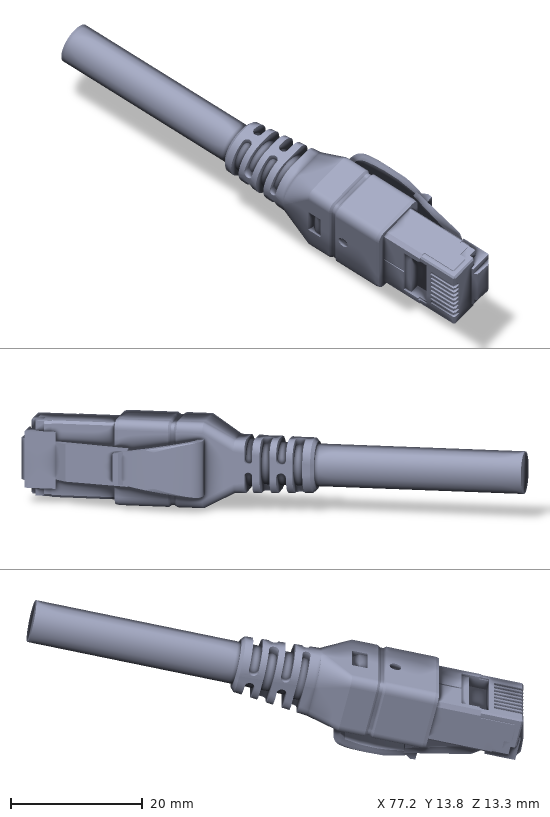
import cadquery as cq
import math


CABLE_D = 6.5
BOOT_START = 31.9
BOOT_END = 44.1
BOOT_HALF_Z = 4.13
BOOT_START_LOW_Y = -4.2
BOOT_START_HIGH_Y = 4.1
TAPER_LOW_RADIUS = 4.0
BOOT_HIGH_RADIUS = 1.55
BOOT_START_HIGH_RADIUS = 3.4
BOOT_LIP_CHAMFER = 0.5
RELIEF_FIRST_X = 34.35
RELIEF_PITCH = 2.5
RELIEF_COUNT = 3
RELIEF_WIDTH = 1.5
RELIEF_BRIDGE_HALF = 0.65
LAST_RELIEF_WIDTH = 1.2
LAST_RELIEF_FLOOR_D = 7.2

HOUSING_START = 48.9
HOUSING_END = 62.5
HOUSING_HALF_Y = 4.88
HOUSING_HALF_Z = 6.65
HOUSING_RADIUS = 1.4
HOUSING_LIP_LENGTH = 0.55
HOUSING_LIP_DEPTH = 0.12
GROOVE_X = 53.6
GROOVE_TOP_WIDTH = 1.3
GROOVE_FLOOR_WIDTH = 0.5
GROOVE_DEPTH = 0.3
DIMPLE_X = 55.65
DIMPLE_D = 1.8
DIMPLE_DEPTH = 0.8
RECESS_LENGTH = 2.4
RECESS_HALF_Z = 2.2
RECESS_DEPTH = 1.0
RECESS_DEEP_OFFSET = 0.3
RECESS_SHELF_OFFSET = 1.2
RECESS_SHELF_DEPTH = 0.35

PLUG_END = 76.0
PLUG_HALF_Z = 5.95
PLUG_LOW_Y = -3.52
PLUG_HIGH_Y = 3.3
NOSE_STEP = 0.12
NOSE_CHAMFER = 0.25
NOSE_TOP_X = 73.7
NOSE_TOP_Y = 3.25
NOSE_KEY_X = 75.1
NOSE_LEDGE_Y = 2.9
NOSE_KEY_Y = 1.5
SHELL_EDGE = 0.4
SHELL_LOW_EDGE_Y = 0.75
SHELL_LOW_END = 69.4
SHELL_RIM_Y = -2.4
SHELL_FRONT_X = 75.0
SHELL_FRONT_Y = 0.7
SHELL_MID_X = 73.9
SHELL_MID_Y = 2.45
SHELL_TOP_X = 72.5
SEAM_WIDTH = 0.35
SEAM_DEPTH = 0.15

WINDOW_START = 66.3
WINDOW_STEP_X = 67.5
WINDOW_END = 70.6
WINDOW_HALF_Z = 4.55
WINDOW_LEDGE_DEPTH = 0.35
WINDOW_DEPTH = 1.9
WINDOW_FLARE_X = 69.1
WINDOW_FLARE_HALF_Z = 4.8

CONTACT_COUNT = 8
CONTACT_PITCH = 1.02
CONTACT_SLOT_START = 71.4
CONTACT_SLOT_WIDTH = 0.72
CONTACT_SLOT_DEPTH = 1.2
BLADE_THICKNESS = 0.3
BLADE_RECESS = 0.3

STRAP_HALF_Z = 4.3
STRAP_END_HALF_Z = 2.3
STRAP_TAPER_X = 50.0
STRAP_TOP_Y = 8.92
STRAP_CORNER = 1.5
STRAP_FOOT_X = 48.6
STRAP_FOOT_THICKNESS = 1.05
STRAP_SHOULDER_Y = 6.1
STRAP_SHOULDER_END = (50.1, 8.1)
STRAP_CROWN_X = 55.6
STRAP_CROWN_THICKNESS = 1.15
STRAP_INNER_START = (50.5, 6.85)
NUB_START = (60.5, 8.35)
NUB_TOP_X = 61.2
NUB_END_X = 62.0
NUB_LOW_Y = 7.6
STRAP_TIP = (58.9, 7.7)

LATCH_END = 77.17
LATCH_TOP_Y = 4.4
LATCH_LOW_Y = 3.8
LEVER_HALF_Z = 2.9
LEVER_FREE_X = 59.9
LEVER_FREE_LOW_Y = 7.0
LEVER_FREE_HIGH_Y = 7.9
LEVER_BEND = (69.9, 5.75)
LEVER_ROOT_X = 71.7
LEVER_ROOT_OVERLAP = 0.8
HINGE_HALF_Z = 4.36
HINGE_GAP_X = 73.6
HINGE_BACK_X = 74.9
HINGE_BACK_HIGH_Y = 3.3
HINGE_BACK_LOW_Y = 2.0
TIP_START_X = 76.5
TIP_HALF_Z = 3.2
TIP_SHOULDER_Y = 3.4
TIP_LOW = (77.0, 1.0)
TIP_UNDERSIDE = (76.2, 0.5)


def section(x, low_y, high_y, half_z, low_radius, high_radius):
    """Closed outline normal to X: rounded +Y corners, and -Y corners that may merge into one arc."""
    cut = 1 - math.sqrt(0.5)
    low_cut = cut * low_radius
    high_cut = cut * high_radius
    outline = (
        cq.Workplane("YZ", origin=(x, 0, 0))
        .moveTo(low_y + low_radius, -half_z)
        .lineTo(high_y - high_radius, -half_z)
        .threePointArc((high_y - high_cut, high_cut - half_z), (high_y, high_radius - half_z))
        .lineTo(high_y, half_z - high_radius)
        .threePointArc((high_y - high_cut, half_z - high_cut), (high_y - high_radius, half_z))
        .lineTo(low_y + low_radius, half_z)
    )
    if low_radius < half_z:
        outline = outline.threePointArc((low_y + low_cut, half_z - low_cut), (low_y, half_z - low_radius))
        outline = outline.lineTo(low_y, low_radius - half_z)
        outline = outline.threePointArc((low_y + low_cut, low_cut - half_z), (low_y + low_radius, -half_z))
    else:
        outline = outline.threePointArc((low_y, 0), (low_y + low_radius, -half_z))
    return outline.wire().val()


def loft(*sections):
    return cq.Workplane(cq.Solid.makeLoft(list(sections), True))


def block(x_range, y_range, z_range):
    (x0, x1), (y0, y1), (z0, z1) = x_range, y_range, z_range
    return cq.Workplane(cq.Solid.makeBox(x1 - x0, y1 - y0, z1 - z0, cq.Vector(x0, y0, z0)))


def side_profile(points, half_z):
    """Closed XY outline extruded evenly to both sides of the Z = 0 plane."""
    return cq.Workplane("XY").polyline(points).close().extrude(half_z, both=True)


def housing_section(x, inset=0):
    half_y = HOUSING_HALF_Y - inset
    half_z = HOUSING_HALF_Z - inset
    radius = HOUSING_RADIUS - inset
    return section(x, -half_y, half_y, half_z, radius, radius)


def boot_end_section(low_radius):
    return section(BOOT_END, -HOUSING_HALF_Y, HOUSING_HALF_Y, BOOT_HALF_Z, low_radius, BOOT_HIGH_RADIUS)


def cylinder(diameter, length):
    return cq.Workplane("YZ").circle(diameter / 2).extrude(length)


def relief_slot(x, width, across_z):
    """A pair of round-ended slots that leave a narrow bridge between them."""
    reach = 2 * HOUSING_HALF_Y
    plane = "XZ" if across_z else "XY"
    centre = RELIEF_BRIDGE_HALF + reach / 2
    return (
        cq.Workplane(plane)
        .pushPoints([(x, centre), (x, -centre)])
        .slot2D(reach, width, 90)
        .extrude(reach, both=True)
    )


def make_boot():
    start = section(
        BOOT_START, BOOT_START_LOW_Y, BOOT_START_HIGH_Y, BOOT_HALF_Z, BOOT_HALF_Z, BOOT_START_HIGH_RADIUS
    )
    boot = loft(start, boot_end_section(BOOT_HALF_Z)).faces("<X").edges().chamfer(BOOT_LIP_CHAMFER)
    for index in range(RELIEF_COUNT):
        x = RELIEF_FIRST_X + index * RELIEF_PITCH
        boot = boot.cut(relief_slot(x, RELIEF_WIDTH, across_z=index % 2 == 1))
    last_x = RELIEF_FIRST_X + RELIEF_COUNT * RELIEF_PITCH
    last_floor = cylinder(LAST_RELIEF_FLOOR_D, BOOT_END)
    return boot.cut(relief_slot(last_x, LAST_RELIEF_WIDTH, across_z=True).cut(last_floor))


def make_housing():
    groove_wide = GROOVE_TOP_WIDTH / 2
    groove_narrow = GROOVE_FLOOR_WIDTH / 2
    housing = loft(
        boot_end_section(TAPER_LOW_RADIUS),
        housing_section(HOUSING_START),
        housing_section(GROOVE_X - groove_wide),
        housing_section(GROOVE_X - groove_narrow, GROOVE_DEPTH),
        housing_section(GROOVE_X + groove_narrow, GROOVE_DEPTH),
        housing_section(GROOVE_X + groove_wide),
        housing_section(HOUSING_END - HOUSING_LIP_LENGTH),
        housing_section(HOUSING_END, HOUSING_LIP_DEPTH),
    )
    shelf_y = RECESS_SHELF_DEPTH - HOUSING_HALF_Y
    recess = side_profile(
        [
            (HOUSING_START, -HOUSING_HALF_Y),
            (HOUSING_START + RECESS_DEEP_OFFSET, RECESS_DEPTH - HOUSING_HALF_Y),
            (HOUSING_START + RECESS_SHELF_OFFSET, shelf_y),
            (HOUSING_START + RECESS_LENGTH, shelf_y),
            (HOUSING_START + RECESS_LENGTH, -HOUSING_HALF_Y),
        ],
        RECESS_HALF_Z,
    )
    dimple = (
        cq.Workplane("XZ", origin=(DIMPLE_X, -HOUSING_HALF_Y, 0))
        .circle(DIMPLE_D / 2)
        .extrude(-DIMPLE_DEPTH)
    )
    return housing.cut(recess).cut(dimple)


def make_shell():
    shell = side_profile(
        [
            (HOUSING_END, PLUG_LOW_Y),
            (SHELL_LOW_END, PLUG_LOW_Y),
            (SHELL_LOW_END, SHELL_RIM_Y),
            (SHELL_FRONT_X, SHELL_RIM_Y),
            (SHELL_FRONT_X, SHELL_FRONT_Y),
            (SHELL_MID_X, SHELL_FRONT_Y),
            (SHELL_MID_X, SHELL_MID_Y),
            (SHELL_TOP_X, SHELL_MID_Y),
            (SHELL_TOP_X, PLUG_HIGH_Y),
            (HOUSING_END, PLUG_HIGH_Y),
        ],
        PLUG_HALF_Z,
    )
    shell = shell.edges("|X and >Y").chamfer(SHELL_EDGE)
    shell = shell.edges("|X and <Y").chamfer(SHELL_LOW_EDGE_Y, SHELL_EDGE)
    seam = block(
        (HOUSING_END, WINDOW_START),
        (PLUG_LOW_Y, PLUG_LOW_Y + SEAM_DEPTH),
        (-SEAM_WIDTH / 2, SEAM_WIDTH / 2),
    )
    return shell.cut(seam)


def make_nose():
    low_y = PLUG_LOW_Y + NOSE_STEP
    nose = side_profile(
        [
            (SHELL_LOW_END, low_y),
            (PLUG_END, low_y),
            (PLUG_END, NOSE_KEY_Y),
            (NOSE_KEY_X, NOSE_KEY_Y),
            (NOSE_KEY_X, NOSE_LEDGE_Y),
            (NOSE_TOP_X, NOSE_LEDGE_Y),
            (NOSE_TOP_X, NOSE_TOP_Y),
            (SHELL_LOW_END, NOSE_TOP_Y),
        ],
        PLUG_HALF_Z - NOSE_STEP,
    )
    nose = nose.edges(">X or (|X and <Y)").chamfer(NOSE_CHAMFER)
    return nose.edges("|X and >Y").chamfer(SHELL_EDGE)


def cut_window(plug):
    ledge = block(
        (WINDOW_START, WINDOW_STEP_X),
        (PLUG_LOW_Y, PLUG_LOW_Y + WINDOW_LEDGE_DEPTH),
        (-WINDOW_HALF_Z, WINDOW_HALF_Z),
    )
    opening = block(
        (WINDOW_STEP_X, WINDOW_END),
        (PLUG_LOW_Y, PLUG_LOW_Y + WINDOW_DEPTH),
        (-WINDOW_HALF_Z, WINDOW_HALF_Z),
    )
    flare = block(
        (WINDOW_FLARE_X, WINDOW_END),
        (PLUG_LOW_Y, PLUG_LOW_Y + WINDOW_LEDGE_DEPTH),
        (-WINDOW_FLARE_HALF_Z, WINDOW_FLARE_HALF_Z),
    )
    return plug.cut(ledge).cut(opening).cut(flare)


def add_contacts(plug):
    slot_floor = PLUG_LOW_Y + CONTACT_SLOT_DEPTH
    half_slot = CONTACT_SLOT_WIDTH / 2
    half_blade = BLADE_THICKNESS / 2
    for index in range(CONTACT_COUNT):
        z = (index - (CONTACT_COUNT - 1) / 2) * CONTACT_PITCH
        slot = block((CONTACT_SLOT_START, PLUG_END), (PLUG_LOW_Y, slot_floor), (z - half_slot, z + half_slot))
        blade = block(
            (CONTACT_SLOT_START, PLUG_END - BLADE_RECESS),
            (PLUG_LOW_Y + BLADE_RECESS, slot_floor),
            (z - half_blade, z + half_blade),
        )
        plug = plug.cut(slot).union(blade)
    return plug


def make_plug():
    return add_contacts(cut_window(make_nose().union(make_shell())))


def make_strap():
    """Bowed guard strap that rises from the housing and ends in a nub over the latch."""
    foot_y = HOUSING_HALF_Y - HOUSING_LIP_DEPTH
    foot_inner_x = STRAP_FOOT_X + STRAP_FOOT_THICKNESS
    bow = (
        cq.Workplane("XY")
        .moveTo(STRAP_FOOT_X, foot_y)
        .lineTo(STRAP_FOOT_X, STRAP_SHOULDER_Y)
        .tangentArcPoint(STRAP_SHOULDER_END, relative=False)
        .threePointArc((STRAP_CROWN_X, STRAP_TOP_Y), NUB_START)
        .lineTo(NUB_TOP_X, STRAP_TOP_Y)
        .lineTo(NUB_END_X, STRAP_TOP_Y)
        .lineTo(NUB_END_X, NUB_LOW_Y)
        .lineTo(*STRAP_TIP)
        .threePointArc((STRAP_CROWN_X, STRAP_TOP_Y - STRAP_CROWN_THICKNESS), STRAP_INNER_START)
        .lineTo(foot_inner_x, STRAP_SHOULDER_Y)
        .lineTo(foot_inner_x, foot_y)
        .close()
        .extrude(STRAP_HALF_Z, both=True)
    )
    envelope = block((STRAP_FOOT_X, NUB_END_X), (0, STRAP_TOP_Y), (-STRAP_HALF_Z, STRAP_HALF_Z))
    envelope = envelope.edges("|X and >Y").fillet(STRAP_CORNER)
    plan = (
        cq.Workplane("XZ")
        .polyline(
            [
                (STRAP_FOOT_X, -STRAP_HALF_Z),
                (STRAP_TAPER_X, -STRAP_HALF_Z),
                (NUB_END_X, -STRAP_END_HALF_Z),
                (NUB_END_X, STRAP_END_HALF_Z),
                (STRAP_TAPER_X, STRAP_HALF_Z),
                (STRAP_FOOT_X, STRAP_HALF_Z),
            ]
        )
        .close()
        .extrude(-STRAP_TOP_Y)
    )
    return bow.intersect(envelope).intersect(plan)


def make_latch():
    """Sloping lever hinged on a wide block at the front of the plug."""
    lever = side_profile(
        [
            (LEVER_FREE_X, LEVER_FREE_LOW_Y),
            (LEVER_FREE_X, LEVER_FREE_HIGH_Y),
            LEVER_BEND,
            (LEVER_ROOT_X + LEVER_ROOT_OVERLAP, LATCH_LOW_Y),
            (LEVER_ROOT_X, LATCH_LOW_Y),
        ],
        LEVER_HALF_Z,
    )
    hinge = side_profile(
        [
            (LEVER_ROOT_X, LATCH_TOP_Y),
            (TIP_START_X, LATCH_TOP_Y),
            (LATCH_END, TIP_SHOULDER_Y),
            TIP_LOW,
            TIP_UNDERSIDE,
            (PLUG_END, NOSE_KEY_Y),
            (HINGE_BACK_X, HINGE_BACK_LOW_Y),
            (HINGE_BACK_X, HINGE_BACK_HIGH_Y),
            (HINGE_GAP_X, LATCH_LOW_Y),
            (LEVER_ROOT_X, LATCH_LOW_Y),
        ],
        HINGE_HALF_Z,
    )
    for z_range in ((-HINGE_HALF_Z, -TIP_HALF_Z), (TIP_HALF_Z, HINGE_HALF_Z)):
        hinge = hinge.cut(block((TIP_START_X, LATCH_END), (0, LATCH_TOP_Y), z_range))
    return lever.union(hinge)


result = cylinder(CABLE_D, BOOT_END)
for part in (make_boot(), make_housing(), make_plug(), make_strap(), make_latch()):
    result = result.union(part)